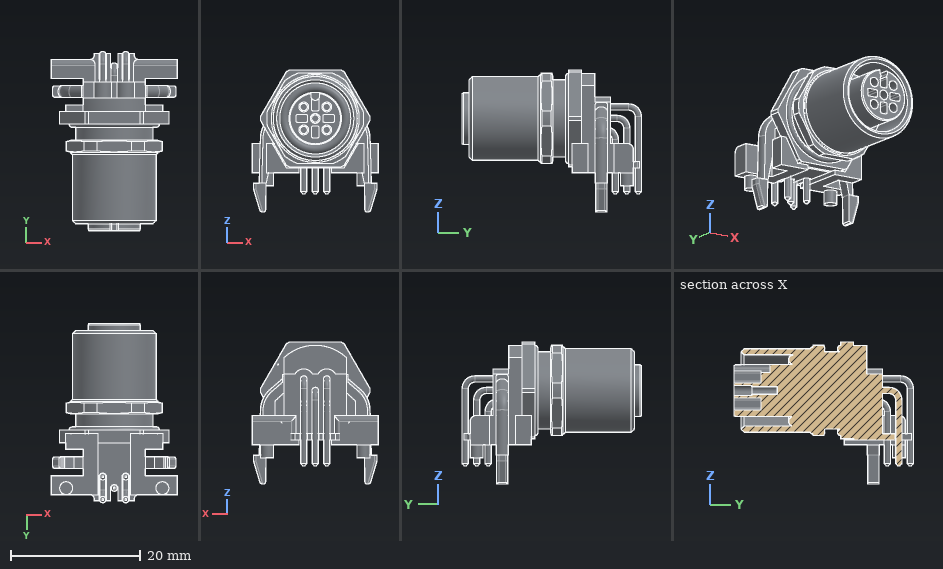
import cadquery as cq
import math


sleeve_front = 1.08
sleeve_radius = 6.5
sleeve_chamfer = 0.53
sleeve_end = 11.77
bore_radius = 5.5
insert_radius = 4.05
insert_chamfer = 0.15
insert_chamfer_length = 0.25
inner_seal_y = 9.16
neck_radius = 6.0
collar_radius = 6.8

pin_pitch = 1.78
contact_diameter = 1.1
contact_mouth_diameter = 1.5
contact_mouth_depth = 2.78
contact_depth = 6.66
keyway_radius = 0.67
keyway_floor_z = 2.8
keyway_depth = 5.55
pocket_length = 1.83
pocket_width = 1.22
pocket_center = 2.08
pocket_corner = 0.28
pocket_depth = 4.17

nut_front = 12.1
nut_back = 14.05
nut_flats = 14.0
nut_corner_radius = 7.5
nut_chamfer_radius = 6.55
nut_chamfer_length = 0.25

flange_front = 16.5
flange_back = 18.5
flange_flats = 15
flange_corner_radius = 8.5
seal_tube_radius = 0.5

housing_half_width = 4.8
disc_radius = 7.0
disc_back = 20.55
step_back = 23.0
step_top = 2.55
pin_sleeve_radius = 1.55
base_top = -3.85
base_bottom = -8.41
channel_half_width = 2.5
channel_top = -7.7

foot_front = 17.05
foot_back = 19.5
foot_half_width = 7.53
flange_clearance = 0.2

bar_front = 23.55
bar_back = 26.52
bar_half_width = 9.75
bar_fillet = 0.95
notch_half_width = 3.0
notch_flare = 0.7
guide_top = -6.66
guide_back = 27.46
guide_half_width = 3.1
guide_fillet = 0.67
guide_slot_width = 1.1
peg_diameter = 2.0
peg_x = 7.45
peg_bottom = -10.45

pin_diameter = 1.0
pin_bend_radius = 1.5
pin_back_y = 27.27
middle_pin_y = pin_back_y - pin_pitch
lower_pin_y = middle_pin_y - pin_pitch
pin_bottom = -11.7
pin_tip_length = 0.4
pin_tip_diameter = 0.28

clip_width = 1.9
clip_center_y = 21.55
clip_inner_x = 7.58
arm_crown = 0.42
arm_root_x = 4.45
arm_root_top = 1.8
arm_root_bottom = 0
arm_bend_x = 8.03
arm_bend_z = -1.28
arm_bend_radius = 3.9
arm_end_x = 8.28
arm_inner_x = 6.25
arm_inner_top = -1.67
pad_x = 5.08
pad_top = 2.5
pad_fillet = 0.35
hook_width = 1.78
hook_fillet = 0.35
hook_top = -10
hook_side_x = 9.55
hook_side_bottom = -10.95
clip_bottom = -14.5
tip_outer_x = 8.5
tip_inner_x = 7.66
tip_chamfer = 0.25


def box(x_range, y_range, z_range):
    """Block between the (low, high) limits given along each axis."""
    sizes = [high - low for low, high in (x_range, y_range, z_range)]
    return cq.Workplane("XY").box(*sizes, centered=False).translate((x_range[0], y_range[0], z_range[0]))


def plane_at(y, x=0, z=0):
    """Work plane facing -Y; a negative extrusion runs toward +Y."""
    return cq.Workplane("XZ", origin=(x, y, z))


def cylinder_y(radius, y_start, y_end, x=0, z=0):
    return plane_at(y_start, x, z).circle(radius).extrude(y_start - y_end)


def hexagon(flats, y_start, y_end):
    """Hexagonal prism along Y with flats at top and bottom."""
    return plane_at(y_start).polygon(6, flats / math.cos(math.pi / 6)).extrude(y_start - y_end)


def around_y(profile):
    return profile.close().revolve(360, (0, 0, 0), (0, 1, 0))


def quarter_arc_inset(radius):
    """Distance from the middle of a quarter arc to each of its two end tangents."""
    return radius * (1 - math.sqrt(0.5))


def mirrored_pair(solid):
    return solid.union(solid.mirror("YZ"))


def make_barrel():
    """Insert, sealing ring in the cavity, sleeve, neck and outer seal ring."""
    seal_middle = (insert_radius + bore_radius) / 2
    seal_radius = (bore_radius - insert_radius) / 2
    rim_radius = sleeve_radius - sleeve_chamfer
    outer_seal_middle = neck_radius + seal_tube_radius
    outer_seal_edge = outer_seal_middle + seal_tube_radius
    return around_y(
        cq.Workplane("XY")
        .moveTo(0, 0)
        .lineTo(insert_radius - insert_chamfer, 0)
        .lineTo(insert_radius, insert_chamfer_length)
        .lineTo(insert_radius, inner_seal_y)
        .threePointArc((seal_middle, inner_seal_y - seal_radius), (bore_radius, inner_seal_y))
        .lineTo(bore_radius, sleeve_front + rim_radius - bore_radius)
        .lineTo(rim_radius, sleeve_front)
        .lineTo(sleeve_radius, sleeve_front + sleeve_chamfer)
        .lineTo(sleeve_radius, sleeve_end)
        .lineTo(collar_radius, nut_front)
        .lineTo(neck_radius, nut_front)
        .lineTo(neck_radius, flange_front)
        .threePointArc((outer_seal_middle, flange_front - seal_tube_radius), (outer_seal_edge, flange_front))
        .lineTo(outer_seal_edge, flange_back)
        .lineTo(0, flange_back)
    )


def make_insert_cuts():
    """Five counterbored contact holes, the keyway and four pockets around the centre."""
    corners = [(x, z) for x in (-pin_pitch, pin_pitch) for z in (-pin_pitch, pin_pitch)]
    cuts = cylinder_y(keyway_radius, 0, keyway_depth, z=keyway_floor_z + keyway_radius)
    keyway_sides = (-keyway_radius, keyway_radius)
    keyway_heights = (keyway_floor_z + keyway_radius, insert_radius)
    cuts = cuts.union(box(keyway_sides, (0, keyway_depth), keyway_heights))
    for x, z in [(0, 0)] + corners:
        cuts = cuts.union(cylinder_y(contact_diameter / 2, 0, contact_depth, x, z))
        cuts = cuts.union(cylinder_y(contact_mouth_diameter / 2, 0, contact_mouth_depth, x, z))
    pocket = (
        plane_at(0, x=pocket_center)
        .rect(pocket_length, pocket_width)
        .extrude(-pocket_depth)
        .edges("|Y")
        .fillet(pocket_corner)
    )
    for angle in (0, 90, 180, 270):
        cuts = cuts.union(pocket.rotate((0, 0, 0), (0, 1, 0), angle))
    return cuts


def make_nut():
    turned = around_y(
        cq.Workplane("XY")
        .moveTo(neck_radius, nut_front)
        .lineTo(nut_chamfer_radius, nut_front)
        .lineTo(nut_corner_radius, nut_front + nut_chamfer_length)
        .lineTo(nut_corner_radius, nut_back - nut_chamfer_length)
        .lineTo(nut_chamfer_radius, nut_back)
        .lineTo(neck_radius, nut_back)
    )
    return hexagon(nut_flats, nut_front, nut_back).intersect(turned)


def make_flange():
    turned = cylinder_y(flange_corner_radius, flange_front, flange_back)
    return hexagon(flange_flats, flange_front, flange_back).intersect(turned)


def make_housing():
    """Round-topped disc, stepped block with two pin sleeves, and the base under it."""
    sides = (-housing_half_width, housing_half_width)
    disc = cylinder_y(disc_radius, flange_back, disc_back)
    disc = disc.intersect(box(sides, (flange_back, disc_back), (-disc_radius, disc_radius)))
    housing = disc.union(box(sides, (flange_back, disc_back), (base_bottom, 0)))
    step = box(sides, (disc_back, step_back), (base_bottom, step_top))
    for x in (-pin_pitch, pin_pitch):
        step = step.union(cylinder_y(pin_sleeve_radius, disc_back, step_back, x, pin_pitch))
    base = box(sides, (step_back, bar_front), (base_bottom, base_top))
    return housing.union(step).union(base)


def make_feet():
    """Feet beside the flange, cut to clear its lower flats."""
    feet = box((-foot_half_width, foot_half_width), (foot_front, foot_back), (base_bottom, base_top))
    return feet.cut(hexagon(flange_flats + 2 * flange_clearance, foot_front, flange_back))


def make_rear_bar():
    bar = box((-bar_half_width, bar_half_width), (bar_front, bar_back), (base_bottom, base_top))
    return bar.edges(">Y and >Z").fillet(bar_fillet)


def make_notch():
    """Opening above the guide plate, flared by a round edge at the back of the bar."""
    inset = quarter_arc_inset(notch_flare)
    flare_middle = (notch_half_width + inset, bar_back - inset)
    flare_end = (notch_half_width + notch_flare, bar_back)
    half = (
        cq.Workplane("XY", origin=(0, 0, guide_top))
        .moveTo(0, step_back)
        .lineTo(notch_half_width, step_back)
        .lineTo(notch_half_width, bar_back - notch_flare)
        .threePointArc(flare_middle, flare_end)
        .lineTo(0, bar_back)
        .close()
        .extrude(base_top - guide_top)
    )
    return mirrored_pair(half)


def make_guide():
    """Tongue of the guide plate behind the bar, blended into it by concave corners."""
    inset = quarter_arc_inset(guide_fillet)
    blend_middle = (guide_half_width + inset, bar_back + inset)
    blend_end = (guide_half_width, bar_back + guide_fillet)
    half = (
        cq.Workplane("XY", origin=(0, 0, channel_top))
        .moveTo(0, bar_back)
        .lineTo(guide_half_width + guide_fillet, bar_back)
        .threePointArc(blend_middle, blend_end)
        .lineTo(guide_half_width, guide_back)
        .lineTo(0, guide_back)
        .close()
        .extrude(guide_top - channel_top)
    )
    return mirrored_pair(half)


def make_guide_slot(x, y):
    """Slot for a pin at (x, y), round at its front end and open at the back."""
    half_width = guide_slot_width / 2
    plate = (channel_top, guide_top)
    round_end = (
        cq.Workplane("XY", origin=(x, y, channel_top))
        .circle(half_width)
        .extrude(guide_top - channel_top)
    )
    return round_end.union(box((x - half_width, x + half_width), (y, guide_back), plate))


def make_pin(x, y, z):
    """Pin leaving the housing along Y at height z and bent down to a pointed end at station y."""
    radius = pin_diameter / 2
    straight_end = y - pin_bend_radius
    inset = quarter_arc_inset(pin_bend_radius)
    path = (
        cq.Workplane("YZ", origin=(x, 0, 0))
        .moveTo(disc_back, z)
        .lineTo(straight_end, z)
        .threePointArc((y - inset, z - inset), (y, z - pin_bend_radius))
        .lineTo(y, pin_bottom + pin_tip_length)
    )
    rod = plane_at(disc_back, x, z).circle(radius).sweep(path)
    tip = (
        cq.Workplane("XY", origin=(x, y, pin_bottom))
        .circle(pin_tip_diameter / 2)
        .workplane(offset=pin_tip_length)
        .circle(radius)
        .loft()
    )
    return rod.union(tip)


def make_peg():
    return (
        cq.Workplane("XY", origin=(-peg_x, middle_pin_y, peg_bottom))
        .circle(peg_diameter / 2)
        .extrude(base_bottom - peg_bottom)
    )


def make_arm():
    """Arm leaving the side of the housing, bending down and tapering, with a crowned outer face."""
    upper_angle = math.atan2(arm_root_top - arm_bend_z, arm_bend_x - arm_root_x)
    lower_angle = math.atan2(arm_bend_z - hook_top, arm_end_x - arm_bend_x)
    tangent_length = arm_bend_radius * math.tan((lower_angle - upper_angle) / 2)
    root = (-arm_root_x, arm_root_top)
    bend_start = (
        -arm_bend_x + tangent_length * math.cos(upper_angle),
        arm_bend_z + tangent_length * math.sin(upper_angle),
    )
    bend_end = (
        -arm_bend_x - tangent_length * math.cos(lower_angle),
        arm_bend_z - tangent_length * math.sin(lower_angle),
    )
    end = (-arm_end_x, hook_top)

    body = (
        plane_at(clip_center_y - clip_width / 2)
        .moveTo(*root)
        .lineTo(*bend_start)
        .tangentArcPoint(bend_end, relative=False)
        .lineTo(*end)
        .lineTo(-clip_inner_x, hook_top)
        .lineTo(-arm_inner_x, base_top)
        .lineTo(-arm_inner_x, arm_inner_top)
        .lineTo(-arm_root_x, arm_root_bottom)
        .close()
        .extrude(-clip_width)
    )
    path = (
        plane_at(clip_center_y)
        .moveTo(*root)
        .lineTo(*bend_start)
        .tangentArcPoint(bend_end, relative=False)
        .lineTo(*end)
    )
    section_plane = cq.Plane(
        origin=(root[0], clip_center_y, root[1]),
        xDir=(0, -1, 0),
        normal=(-math.cos(upper_angle), 0, -math.sin(upper_angle)),
    )
    crown = (
        cq.Workplane(section_plane)
        .moveTo(-clip_width / 2, 0)
        .threePointArc((0, arm_crown), (clip_width / 2, 0))
        .close()
        .sweep(path)
    )
    pad = box(
        (-pad_x, -housing_half_width),
        (clip_center_y - clip_width / 2, clip_center_y + clip_width / 2),
        (arm_root_bottom, pad_top),
    )
    pad = pad.edges("|X and >Z").fillet(pad_fillet)
    return body.union(crown).union(pad)


def make_hook():
    """Barbed end of the clip, with its outer edges rounded and its tip bevelled."""
    front_y = clip_center_y - hook_width / 2
    hook = (
        plane_at(front_y)
        .moveTo(-clip_inner_x, hook_top)
        .lineTo(-hook_side_x, hook_top)
        .lineTo(-hook_side_x, hook_side_bottom)
        .lineTo(-tip_outer_x, clip_bottom)
        .lineTo(-tip_inner_x, clip_bottom)
        .close()
        .extrude(-hook_width)
    )
    hook = hook.faces("<Z").edges("|Y").chamfer(tip_chamfer)
    side_z = (hook_top + hook_side_bottom) / 2
    slope_x = (hook_side_x + tip_outer_x) / 2
    slope_z = (hook_side_bottom + clip_bottom) / 2
    outer_edges = [
        hook.edges(cq.selectors.NearestToPointSelector((-x, y, z))).val()
        for x, z in [(hook_side_x, side_z), (slope_x, slope_z)]
        for y in (front_y, front_y + hook_width)
    ]
    return hook.newObject(outer_edges).fillet(hook_fillet)


def make_channel():
    """Channel under the guide plate, running from the feet to the back of the bar."""
    sides = (-channel_half_width, channel_half_width)
    return box(sides, (foot_front, bar_back), (base_bottom, channel_top))


result = make_barrel().cut(make_insert_cuts())
result = result.union(make_nut()).union(make_flange())
result = result.union(make_feet()).union(make_rear_bar()).union(make_housing())
result = result.cut(make_notch()).cut(make_channel()).union(make_guide())

for slot_x, slot_y in [(-pin_pitch, lower_pin_y), (0, middle_pin_y), (pin_pitch, lower_pin_y)]:
    result = result.cut(make_guide_slot(slot_x, slot_y))

result = result.union(make_pin(0, middle_pin_y, 0))
for pin_x in (-pin_pitch, pin_pitch):
    result = result.union(make_pin(pin_x, pin_back_y, pin_pitch))
    result = result.union(make_pin(pin_x, lower_pin_y, -pin_pitch))

result = result.union(mirrored_pair(make_peg()))
result = result.union(mirrored_pair(make_arm().union(make_hook())))